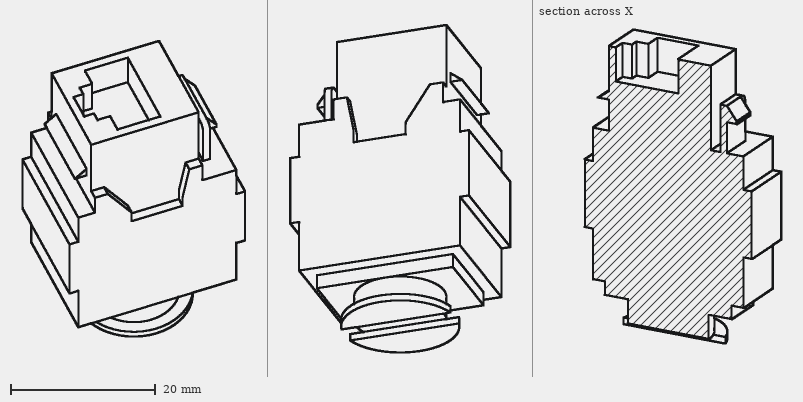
import cadquery as cq

body_width = 17.2
body_depth = 23.57
band_depth = 26.2
total_height = 41.5
body_bottom = 6.55
band_bottom = 14.03
band_top = 24.05
body_top = 29.0

block_width = 14.45
block_front = -9.3
block_back = 6.72
cheek_top = 32.05

notch_bottom = 25.0
notch_front_bottom = -3.8
notch_front_top = -7.4
notch_knee = 26.75
notch_back_bottom = 3.78
notch_back_top = 4.77

cavity_depth = 5.02
cavity_back = 1.55
cavity_steps = [(11.85, -4.85), (6.5, -6.72), (3.9, -8.18)]

neck_diameter = 12.75
plinth_depth = 19.9
plinth_bottom = 4.55
flange_diameter = 16.35
flange_thickness = 1.0
flange_slot_width = 3.6

latch_width = 10.62
latch_front = 8.18
latch_back = 9.2
latch_top = 36.02
latch_corner_radius = 1.08
hook_width = 7.9
hook_reach = 1.55
hook_tip_height = 0.45

wedge_width = 11.1
wedge_reach = 1.75
wedge_height = 1.33
catch_bottom = 33.55


def slab(width, front, back, bottom, top):
    """Box centred in X between the given Y and Z limits."""
    return (
        cq.Workplane("XY")
        .box(width, back - front, top - bottom, centered=(True, False, False))
        .translate((0, front, bottom))
    )


def side_prism(points, width):
    """Extrude a (Y, Z) outline symmetrically about X = 0."""
    return cq.Workplane("YZ").polyline(points).close().extrude(width / 2, both=True)


def make_housing():
    core = slab(body_width, -body_depth / 2, body_depth / 2, body_bottom, body_top)
    band = slab(body_width, -band_depth / 2, band_depth / 2, band_bottom, band_top)
    cheeks = slab(body_width, block_front, block_back, body_top, cheek_top)
    notch = side_prism(
        [
            (notch_front_top, cheek_top),
            (notch_front_bottom, notch_knee),
            (notch_front_bottom, notch_bottom),
            (notch_back_bottom, notch_bottom),
            (notch_back_bottom, notch_knee),
            (notch_back_top, cheek_top),
        ],
        body_width,
    )
    block = slab(block_width, block_front, block_back, band_top, total_height)
    return core.union(band).union(cheeks).cut(notch).union(block)


def make_cavity():
    cavity_floor = total_height - cavity_depth
    cavity = None
    for width, front in cavity_steps:
        step = slab(width, front, cavity_back, cavity_floor, total_height)
        cavity = step if cavity is None else cavity.union(step)
    return cavity


def make_cable_end():
    plinth = slab(neck_diameter, -plinth_depth / 2, plinth_depth / 2, plinth_bottom, body_bottom)
    neck = (
        cq.Workplane("XY", origin=(0, 0, flange_thickness))
        .circle(neck_diameter / 2)
        .extrude(plinth_bottom - flange_thickness)
    )
    flange = cq.Workplane("XY").circle(flange_diameter / 2).extrude(flange_thickness)
    slot = slab(flange_slot_width, -flange_diameter / 2, flange_diameter / 2, 0, flange_thickness)
    return plinth.union(neck).union(flange.cut(slot))


def make_latch():
    blade = slab(latch_width, latch_front, latch_back, body_top, latch_top)
    blade = blade.edges("|Y and >Z").fillet(latch_corner_radius)
    hook = side_prism(
        [
            (latch_back, catch_bottom),
            (latch_back + hook_reach, catch_bottom),
            (latch_back + hook_reach, catch_bottom + hook_tip_height),
            (latch_back, latch_top),
        ],
        hook_width,
    )
    return blade.union(hook)


def make_wedge():
    return side_prism(
        [
            (block_front, catch_bottom),
            (block_front - wedge_reach, catch_bottom),
            (block_front, catch_bottom + wedge_height),
        ],
        wedge_width,
    )


result = (
    make_housing()
    .cut(make_cavity())
    .union(make_cable_end())
    .union(make_latch())
    .union(make_wedge())
)